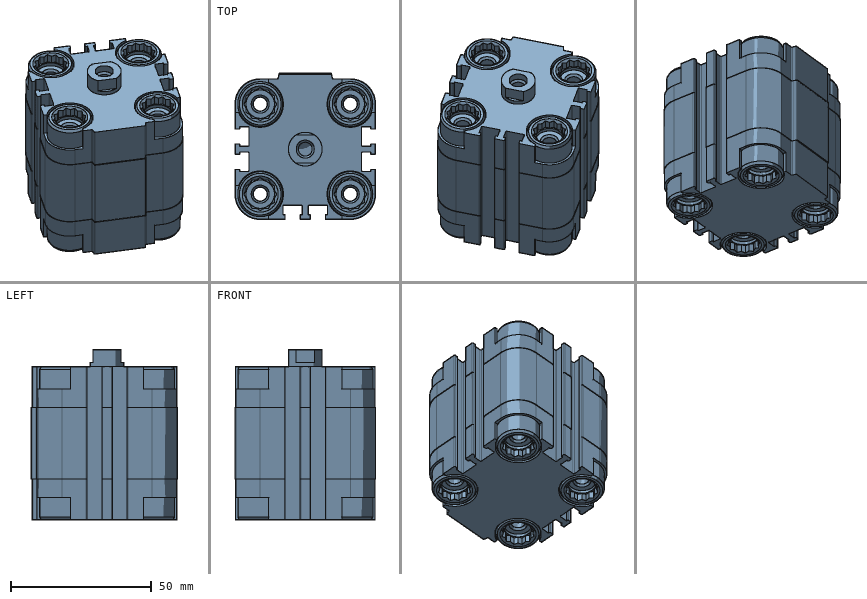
import cadquery as cq
import math

width = 50.0
height = 54.5
half_width = width / 2
end_length = 14.5
end_inset = 0.15
barrel_length = height - 2 * end_length
bolt_offset = 16.0
corner_radius = half_width - bolt_offset

rib_height = 2.0
rib_end_inset = 0.4
rib_top_half = 9.3
rib_base_half = 9.7
rib_root_fillet = 0.4
rib_crest_fillet = 0.3

slot_offset = 4.5
slot_mouth = 5.3
slot_width = 6.8
slot_lip = 1.75
slot_depth = 5.0
slot_floor_fillet = 0.3
lip_round = 0.3
slot_sides = (-90, 0, 90)

head_diameter = 16.0
head_chamfer_radial = 0.6
head_chamfer_axial = 1.0
pocket_diameter = 16.5
pocket_depth = 8.0
pocket_open_from = 13.0
bolt_bore = 4.92

socket_flats = 10.1
socket_depth = 3.5
socket_mouth = 12.8
socket_mouth_angle = 30.0
relief_depth = 4.8
bore_mouth = 6.4

rod_diameter = 12.0
rod_projection = 6.0
rod_embedded = end_length
rod_flats = 10.0
rod_flat_length = 4.5
rod_counterbore = 6.4
rod_counterbore_depth = 2.6
rod_thread_core = 4.92
rod_thread_depth = 12.0
drill_point_angle = 118.0

corner_points = [(x, y) for x in (-bolt_offset, bolt_offset) for y in (-bolt_offset, bolt_offset)]


def slot_cutter(face, length):
    """Cutter for one T-slot opening in -Y, with the side face at y = -face."""
    mouth = slot_mouth / 2
    flare = lip_round * (1 - math.sqrt(0.5))
    undercut = -half_width + slot_lip
    floor = -half_width + slot_depth
    return (
        cq.Workplane("XY")
        .moveTo(0, -face)
        .lineTo(mouth + lip_round, -face)
        .threePointArc((mouth + flare, -face + flare), (mouth, -face + lip_round))
        .lineTo(mouth, undercut - lip_round)
        .threePointArc((mouth + flare, undercut - flare), (mouth + lip_round, undercut))
        .lineTo(slot_width / 2, undercut)
        .lineTo(slot_width / 2, floor)
        .lineTo(0, floor)
        .mirrorY()
        .extrude(length)
        .edges("|Z and >Y")
        .fillet(slot_floor_fillet)
    )


def rib(face, crest, length):
    """Rib on the +Y face, rooted in the face at y = face."""
    shape = (
        cq.Workplane("XY")
        .polyline([
            (-bolt_offset, 0),
            (bolt_offset, 0),
            (bolt_offset, face),
            (rib_base_half, face),
            (rib_top_half, crest),
            (-rib_top_half, crest),
            (-rib_base_half, face),
            (-bolt_offset, face),
        ])
        .close()
        .extrude(length)
    )
    shape = shape.edges("|Z and >Y").fillet(rib_crest_fillet)
    root = cq.selectors.BoxSelector(
        (-rib_base_half - 1, face - 1, -1),
        (rib_base_half + 1, face + rib_crest_fillet, length + 1),
    )
    return shape.edges("|Z").edges(root).fillet(rib_root_fillet)


def section(inset, rib_inset, bottom, length):
    """One length of the housing profile, set in by the given amounts."""
    face = half_width - inset
    shape = (
        cq.Workplane("XY")
        .rect(2 * face, 2 * face)
        .extrude(length)
        .edges("|Z")
        .fillet(corner_radius - inset)
        .union(rib(face, half_width + rib_height - rib_inset, length))
    )
    cutter = slot_cutter(face, length)
    for turn in slot_sides:
        for side in (-1, 1):
            slot = cutter.translate((side * slot_offset, 0, 0))
            shape = shape.cut(slot.rotate((0, 0, 0), (0, 0, 1), turn))
    return shape.translate((0, 0, bottom))


def end_pocket():
    """Corner pocket at the top end, around a bolt at +X +Y, without the bolt head."""
    bottom = height - pocket_depth
    round_part = (
        cq.Workplane("XY", origin=(bolt_offset, bolt_offset, bottom))
        .circle(pocket_diameter / 2)
        .extrude(pocket_depth)
    )
    opening = cq.Workplane("XY").box(
        half_width, half_width, pocket_depth, centered=False
    ).translate((pocket_open_from, pocket_open_from, bottom))
    return round_part.union(opening)


def bolt_head():
    """Chamfered bolt head with a twelve-point socket, on the Z axis at the top end."""
    radius = head_diameter / 2
    head = (
        cq.Workplane("XY", origin=(0, 0, height - pocket_depth))
        .circle(radius)
        .extrude(pocket_depth)
        .faces(">Z")
        .chamfer(head_chamfer_axial, head_chamfer_radial)
    )
    top = cq.Workplane("XY", origin=(0, 0, height))
    hexagon = top.polygon(6, socket_flats / math.cos(math.pi / 6)).extrude(-socket_depth)
    head = head.cut(hexagon).cut(hexagon.rotate((0, 0, 0), (0, 0, 1), 30))

    mouth_radius = socket_mouth / 2
    mouth_depth = mouth_radius * math.tan(math.radians(socket_mouth_angle))
    mouth = cq.Workplane("XZ").polyline(
        [(0, height), (mouth_radius, height), (0, height - mouth_depth)]
    ).close().revolve(360, (0, 0, 0), (0, 1, 0))
    relief_floor = height - relief_depth
    sink_depth = (bore_mouth - bolt_bore) / 2
    lower = cq.Workplane("XZ").polyline([
        (0, height),
        (socket_flats / 2, height),
        (socket_flats / 2, relief_floor),
        (bore_mouth / 2, relief_floor),
        (bolt_bore / 2, relief_floor - sink_depth),
        (bolt_bore / 2, height - pocket_depth),
        (0, height - pocket_depth),
    ]).close().revolve(360, (0, 0, 0), (0, 1, 0))
    return head.cut(mouth).cut(lower)


def make_housing():
    barrel = section(0, 0, end_length, barrel_length)
    lower_end = section(end_inset, rib_end_inset, 0, end_length)
    upper_end = section(end_inset, rib_end_inset, height - end_length, end_length)
    shape = barrel.union(lower_end).union(upper_end).clean()

    pocket = end_pocket()
    head = bolt_head()
    mid_plane = (0, 0, height / 2)
    for turn in (0, 90, 180, 270):
        upper_pocket = pocket.rotate((0, 0, 0), (0, 0, 1), turn)
        shape = shape.cut(upper_pocket).cut(upper_pocket.mirror("XY", mid_plane))
    bores = cq.Workplane("XY").pushPoints(corner_points).circle(bolt_bore / 2).extrude(height)
    shape = shape.cut(bores)
    for x, y in corner_points:
        upper_head = head.translate((x, y, 0))
        shape = shape.union(upper_head).union(upper_head.mirror("XY", mid_plane))

    rod_hole = (
        cq.Workplane("XY", origin=(0, 0, height))
        .circle(rod_diameter / 2)
        .extrude(-rod_embedded)
    )
    return shape.cut(rod_hole)


def make_rod():
    top = height + rod_projection
    shape = (
        cq.Workplane("XY", origin=(0, 0, height - rod_embedded))
        .circle(rod_diameter / 2)
        .extrude(rod_embedded + rod_projection)
    )
    flats = (
        cq.Workplane("XY", origin=(0, 0, top))
        .rect(2 * rod_diameter, 2 * rod_diameter)
        .rect(2 * rod_diameter, rod_flats)
        .extrude(-rod_flat_length)
    )
    bore_radius = rod_counterbore / 2
    core_radius = rod_thread_core / 2
    counterbore_floor = top - rod_counterbore_depth
    thread_end = top - rod_thread_depth
    point_length = core_radius / math.tan(math.radians(drill_point_angle / 2))
    bore = cq.Workplane("XZ").polyline([
        (0, top),
        (bore_radius, top),
        (bore_radius, counterbore_floor),
        (core_radius, counterbore_floor - (bore_radius - core_radius)),
        (core_radius, thread_end),
        (0, thread_end - point_length),
    ]).close().revolve(360, (0, 0, 0), (0, 1, 0))
    return shape.cut(flats).cut(bore)


housing = make_housing()
piston_rod = make_rod()
result = cq.Compound.makeCompound([housing.val(), piston_rod.val()])